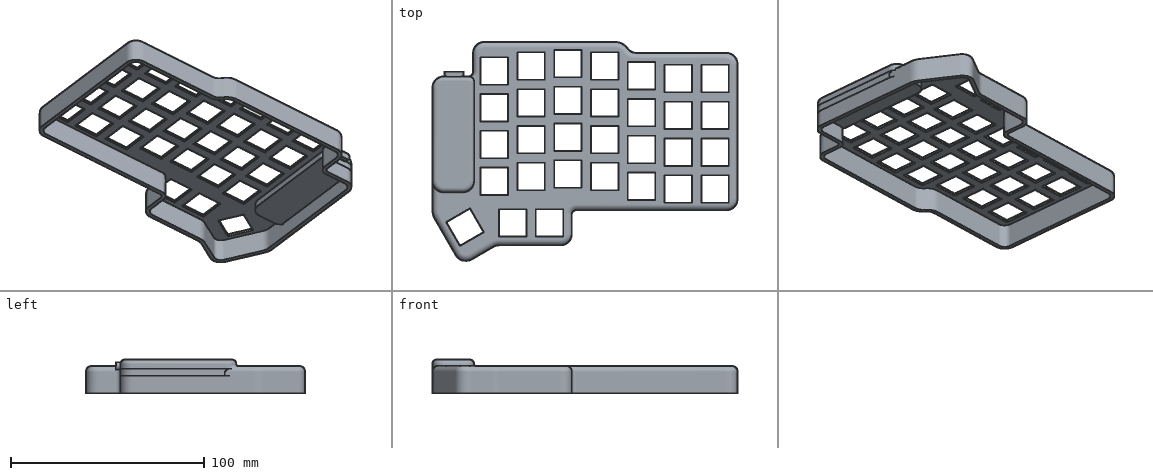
import cadquery as cq
import math


CASE_LENGTH = 158.1
CASE_WIDTH = 113.5
CASE_HEIGHT = 14.2
WALL = 2.0
PLATE_THICKNESS = 1.5
RIM_RADIUS = 3.0
PLATE_UNDERSIDE = CASE_HEIGHT - PLATE_THICKNESS

CORNER_RADIUS = 6.0
INNER_CORNER_RADIUS = 2.2
LEFT_BEND_RADIUS = 9.5
STEP_OUTER_RADIUS = 8.2
STEP_INNER_RADIUS = 5.0
HUMP_BACK = 95.7
BACK_LEFT = 21.0
STEP_START = 98.7
STEP_END = 102.8
RIGHT_BACK = 107.8
RIGHT_FRONT = 26.2
THUMB_RIGHT = 72.3
THUMB_FRONT = 8.0
THUMB_BEND = 32.9
LEFT_BEND = 24.0
THUMB_ANGLE = 30.0

KEY_SIZE = 14.0
COLUMN_COUNT = 7
ROW_COUNT = 4
FIRST_COLUMN = 32.1
LAST_COLUMN = 146.4
KEY_PITCH = (LAST_COLUMN - FIRST_COLUMN) / (COLUMN_COUNT - 1)
COLUMN_FRONTS = [41.3, 43.8, 45.0, 43.8, 38.7, 37.3, 37.3]
THUMB_KEY_Y = 19.8
THUMB_KEY_COLUMNS = [0.5, 1.5]
TURNED_KEY = (16.9, 17.5)

HUMP_TOP = 17.5
HUMP_RIGHT = 21.7
HUMP_FRONT = 35.5
HUMP_BACK_RIGHT_RADIUS = HUMP_RIGHT - (BACK_LEFT - INNER_CORNER_RADIUS)
HUMP_RIM_RADIUS = 2.4
HUMP_FOOT_RADIUS = 0.8
TRAY_HEIGHT = 3.8
TRAY_BOTTOM = PLATE_UNDERSIDE - TRAY_HEIGHT

BOSS_WIDTH = 10.0
BOSS_HEIGHT = 3.8
BOSS_ROUNDING = 1.7
BOSS_CENTRE_X = 11.2
BOSS_REACH = 2.4


def rounded_outline(corners):
    """Closed wire through (x, y, radius) corners, each rounded by a tangent arc."""
    arcs = []
    for i, (x, y, radius) in enumerate(corners):
        corner = cq.Vector(x, y)
        previous = cq.Vector(*corners[i - 1][:2])
        following = cq.Vector(*corners[(i + 1) % len(corners)][:2])
        back = (previous - corner).normalized()
        ahead = (following - corner).normalized()
        half_angle = back.getAngle(ahead) / 2
        tangent_length = radius / math.tan(half_angle)
        bisector = (back + ahead).normalized()
        middle = corner + bisector * (radius / math.sin(half_angle) - radius)
        arcs.append((corner + back * tangent_length, middle, corner + ahead * tangent_length))
    outline = cq.Workplane("XY").moveTo(*arcs[0][0].toTuple()[:2])
    for i, (start, middle, end) in enumerate(arcs):
        if i > 0:
            outline = outline.lineTo(start.x, start.y)
        outline = outline.threePointArc((middle.x, middle.y), (end.x, end.y))
    return outline.close()


def thumb_tip():
    """Corner where the slanted left and front edges of the thumb area meet at a right angle."""
    slope = math.radians(THUMB_ANGLE)
    drop = LEFT_BEND - THUMB_FRONT
    edge = THUMB_BEND * math.sin(slope) + drop * math.cos(slope)
    return edge * math.sin(slope), LEFT_BEND - edge * math.cos(slope)


def case_outline():
    tip_x, tip_y = thumb_tip()
    return rounded_outline([
        (0, HUMP_BACK, CORNER_RADIUS),
        (BACK_LEFT, HUMP_BACK, INNER_CORNER_RADIUS),
        (BACK_LEFT, CASE_WIDTH, CORNER_RADIUS),
        (STEP_START, CASE_WIDTH, STEP_OUTER_RADIUS),
        (STEP_END, RIGHT_BACK, STEP_INNER_RADIUS),
        (CASE_LENGTH, RIGHT_BACK, CORNER_RADIUS),
        (CASE_LENGTH, RIGHT_FRONT, CORNER_RADIUS),
        (THUMB_RIGHT, RIGHT_FRONT, INNER_CORNER_RADIUS),
        (THUMB_RIGHT, THUMB_FRONT, CORNER_RADIUS),
        (THUMB_BEND, THUMB_FRONT, CORNER_RADIUS),
        (tip_x, tip_y, CORNER_RADIUS),
        (0, LEFT_BEND, LEFT_BEND_RADIUS),
    ])


def hump_prism(bottom, top):
    """Upright block with the outline shared by the hump and the tray."""
    outline = rounded_outline([
        (0, HUMP_FRONT, CORNER_RADIUS),
        (0, HUMP_BACK, CORNER_RADIUS),
        (HUMP_RIGHT, HUMP_BACK, HUMP_BACK_RIGHT_RADIUS),
        (HUMP_RIGHT, HUMP_FRONT, CORNER_RADIUS),
    ])
    return outline.extrude(top - bottom).translate((0, 0, bottom))


def make_port_boss():
    """Boss with rounded sides, level with the top of the case plate."""
    return (
        cq.Workplane("XY")
        .box(BOSS_WIDTH, 2 * BOSS_REACH, BOSS_HEIGHT)
        .edges("|Y")
        .fillet(BOSS_ROUNDING)
        .translate((BOSS_CENTRE_X, HUMP_BACK, CASE_HEIGHT))
    )


def key_cutters():
    key = cq.Workplane("XY").box(KEY_SIZE, KEY_SIZE, 2 * CASE_HEIGHT)
    cutters = []
    for column, front in enumerate(COLUMN_FRONTS):
        for row in range(ROW_COUNT):
            place = (FIRST_COLUMN + column * KEY_PITCH, front + row * KEY_PITCH, CASE_HEIGHT)
            cutters.append(key.translate(place))
    for column in THUMB_KEY_COLUMNS:
        place = (FIRST_COLUMN + column * KEY_PITCH, THUMB_KEY_Y, CASE_HEIGHT)
        cutters.append(key.translate(place))
    turned = key.rotate((0, 0, 0), (0, 0, 1), THUMB_ANGLE)
    cutters.append(turned.translate((*TURNED_KEY, CASE_HEIGHT)))
    return cutters


def make_tray():
    """Slab under the hump, flush with the outside of the left and back walls."""
    return hump_prism(TRAY_BOTTOM, PLATE_UNDERSIDE)


def add_hump(case):
    """Raise the hump from the case, with a rounded rim and a concave fillet around its foot."""
    case = case.union(hump_prism(TRAY_BOTTOM, HUMP_TOP))
    case = case.faces(">Z").edges().fillet(HUMP_RIM_RADIUS)
    margin = HUMP_FOOT_RADIUS / 2
    foot_box = cq.selectors.BoxSelector(
        (0, HUMP_FRONT - margin, CASE_HEIGHT - margin),
        (HUMP_RIGHT + margin, HUMP_BACK - HUMP_BACK_RIGHT_RADIUS, CASE_HEIGHT + margin),
    )
    return case.edges(foot_box).fillet(HUMP_FOOT_RADIUS)


def make_case(tray):
    case = add_hump(case_outline().extrude(CASE_HEIGHT).faces(">Z").edges().fillet(RIM_RADIUS))
    cavity = case_outline().offset2D(-WALL).extrude(PLATE_UNDERSIDE)
    case = case.union(make_port_boss()).cut(cavity).cut(tray)
    for cutter in key_cutters():
        case = case.cut(cutter)
    return case


tray = make_tray()
case = make_case(tray)
result = cq.Compound.makeCompound([case.solids().val(), tray.val()])